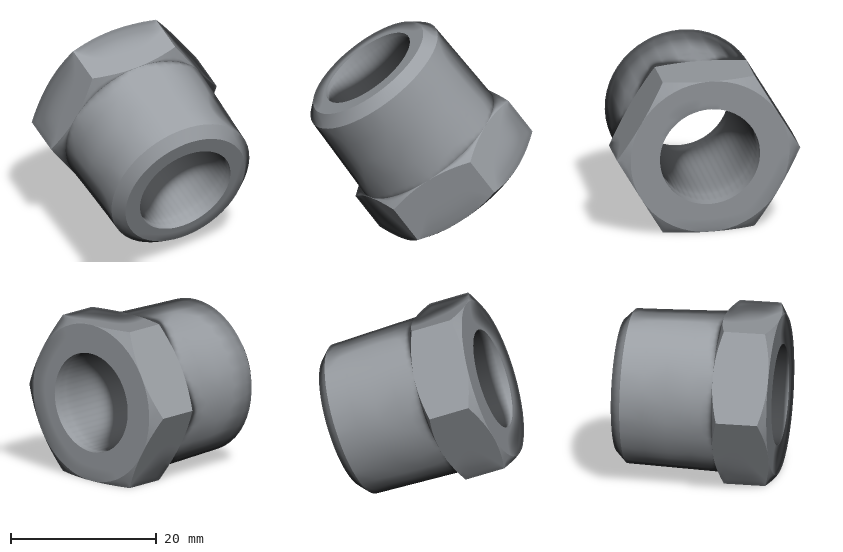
import cadquery as cq
import math

total_length = 22.0
hex_length = 7.73
across_flats = 22.2
bore_diameter = 14.0
hex_chamfer_angle = 30.0
spigot_tip_diameter = 21.34
spigot_taper = 1 / 16
end_chamfer = 1.43

flat_radius = across_flats / 2
corner_radius = flat_radius / math.cos(math.radians(30))
hex_chamfer_length = (corner_radius - flat_radius) * math.tan(math.radians(hex_chamfer_angle))
taper_end_x = total_length - end_chamfer
tip_radius = spigot_tip_diameter / 2
root_radius = tip_radius + (taper_end_x - hex_length) * spigot_taper / 2


def revolve_about_x(profile_points):
    """Revolve a closed (x, radius) profile around the X axis."""
    profile = cq.Workplane("XZ").polyline(profile_points).close()
    return profile.revolve(360, (0, 0, 0), (1, 0, 0))


def make_hex_head():
    """Hexagon with corners on the Y axis and conical chamfers at both ends."""
    prism = cq.Workplane("YZ").polygon(6, 2 * corner_radius).extrude(hex_length)
    chamfer_envelope = revolve_about_x([
        (0, 0),
        (0, flat_radius),
        (hex_chamfer_length, corner_radius),
        (hex_length - hex_chamfer_length, corner_radius),
        (hex_length, flat_radius),
        (hex_length, 0),
    ])
    return prism.intersect(chamfer_envelope)


def make_spigot():
    """Tapered round spigot with a 45 degree chamfer at its free end."""
    return revolve_about_x([
        (hex_length, 0),
        (hex_length, root_radius),
        (taper_end_x, tip_radius),
        (total_length, tip_radius - end_chamfer),
        (total_length, 0),
    ])


def make_bore():
    """Plain bore through the full length."""
    return cq.Workplane("YZ").circle(bore_diameter / 2).extrude(total_length)


result = make_hex_head().union(make_spigot()).cut(make_bore())